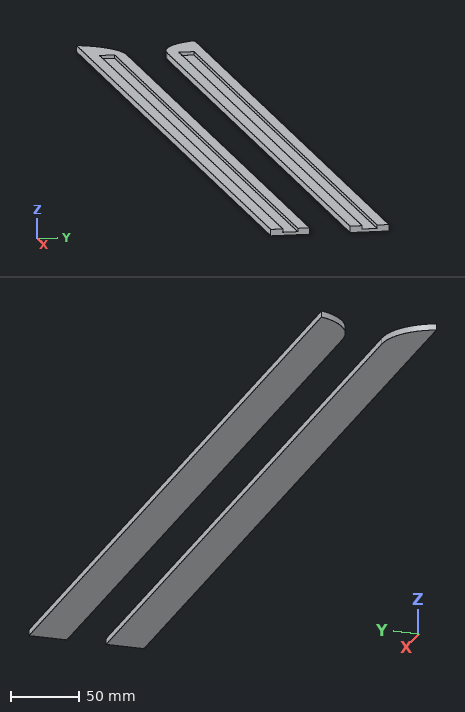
import cadquery as cq
import math

LENGTH = 700.0
PAIR_WIDTH = 89.0
THICKNESS = 5.0

RAIL_WIDTH = 29.5
GROOVE_WIDTH = 11.0
GROOVE_DEPTH = 2.5

NOSE_LENGTH = 40.5


def make_rail(side):
    """Rail with its nose at -X; side is +1 for the +Y rail and -1 for the -Y rail."""
    nose_x = -LENGTH / 2
    tail_x = LENGTH / 2
    outer_y = side * PAIR_WIDTH / 2
    inner_y = outer_y - side * RAIL_WIDTH

    nose_radius = (NOSE_LENGTH**2 + RAIL_WIDTH**2) / (2 * RAIL_WIDTH)
    half_angle = math.asin(NOSE_LENGTH / nose_radius) / 2
    tangent_x = nose_x + NOSE_LENGTH
    arc_middle = (
        tangent_x - nose_radius * math.sin(half_angle),
        inner_y + side * nose_radius * (1 - math.cos(half_angle)),
    )

    blank = (
        cq.Workplane("XY")
        .moveTo(nose_x, outer_y)
        .lineTo(tail_x, outer_y)
        .lineTo(tail_x, inner_y)
        .lineTo(tangent_x, inner_y)
        .threePointArc(arc_middle, (nose_x, outer_y))
        .close()
        .extrude(THICKNESS)
    )

    groove = (
        cq.Workplane("XY")
        .box(LENGTH - NOSE_LENGTH, GROOVE_WIDTH, GROOVE_DEPTH, centered=(False, True, False))
        .translate((nose_x + NOSE_LENGTH, (outer_y + inner_y) / 2, THICKNESS - GROOVE_DEPTH))
    )
    return blank.cut(groove)


rails = [make_rail(side) for side in (-1, 1)]

result = cq.Compound.makeCompound([rail.val() for rail in rails])